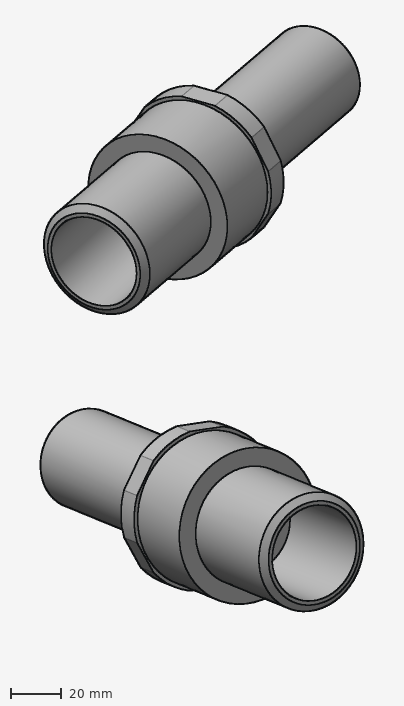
import cadquery as cq

spigot_diameter = 48.3
spigot_length = 50.6
spigot_tip_diameter = 42.2
tip_chamfer_length = 2.3
bore_diameter = 38.8
bore_depth = spigot_length
body_diameter = 63.5
body_length = 31.8
collar_diameter = 66.8
collar_across_flats = 65.0
collar_length = 10.0
tail_diameter = 40.6
total_length = 175.8

spigot_start = -total_length / 2
body_start = spigot_start + spigot_length
collar_start = body_start + body_length
tail_start = collar_start + collar_length
tail_end = total_length / 2


def section_at(y):
    """Workplane at station y whose normal points along +Y."""
    return cq.Workplane(cq.Plane(origin=(0, y, 0), xDir=(1, 0, 0), normal=(0, 1, 0)))


def cylinder(start, end, diameter):
    return section_at(start).circle(diameter / 2).extrude(end - start)


def make_spigot():
    """Round spigot with a conical lead-in at its open end."""
    radius = spigot_diameter / 2
    profile = (
        cq.Workplane("XY")
        .moveTo(0, spigot_start)
        .lineTo(spigot_tip_diameter / 2, spigot_start)
        .lineTo(radius, spigot_start + tip_chamfer_length)
        .lineTo(radius, body_start)
        .lineTo(0, body_start)
        .close()
    )
    return profile.revolve(360, (0, 0, 0), (0, 1, 0))


def make_collar():
    """Hexagon with flats facing +Z and -Z, its corners turned down to a circle."""
    outline = section_at(collar_start).transformed(rotate=(0, 0, 30))
    hexagon = outline.polygon(6, collar_across_flats, circumscribed=True).extrude(collar_length)
    return hexagon.intersect(cylinder(collar_start, tail_start, collar_diameter))


body = cylinder(body_start, collar_start, body_diameter)
tail = cylinder(tail_start, tail_end, tail_diameter)
bore = cylinder(spigot_start, spigot_start + bore_depth, bore_diameter)

result = make_spigot().union(body).union(make_collar()).union(tail).cut(bore)